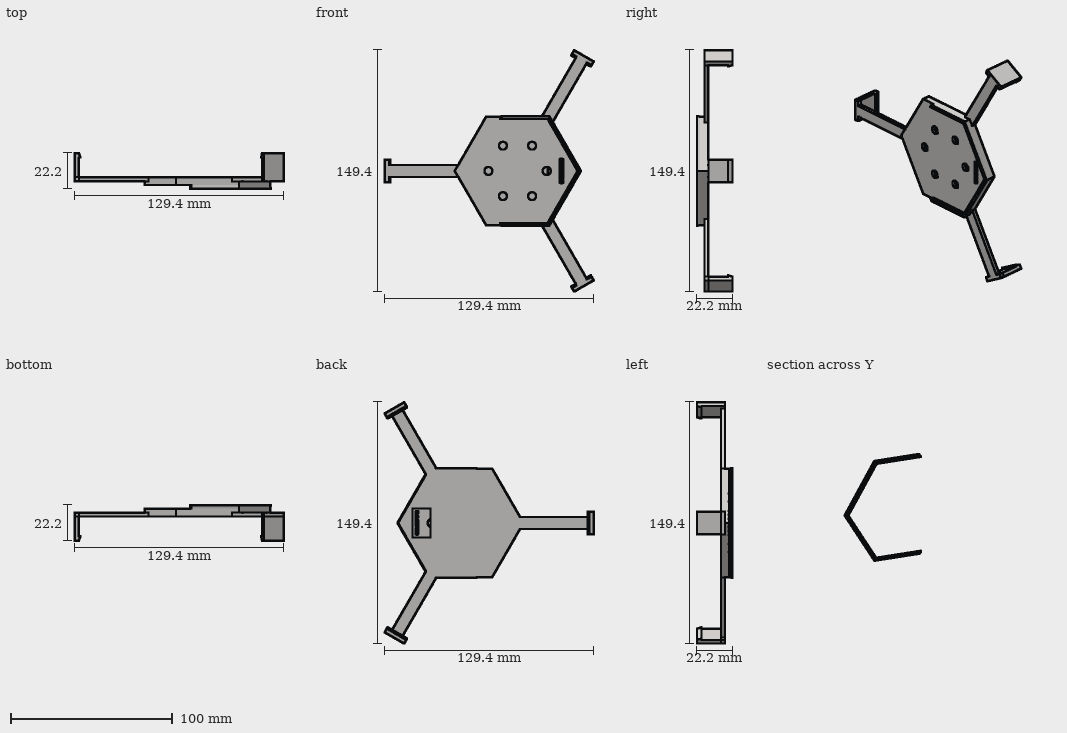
import cadquery as cq
import math

overall_height = 149.4
base_apothem = 33.6
base_thickness = 5.0
base_front = -base_thickness

arm_count = 3
arm_pitch = 360 / arm_count
arm_width = 7.6
arm_thickness = 2.5

clip_width = 14.0
clip_thickness = 2.7
clip_height = 15.0
lip_height = 2.8
lip_overhang = 1.0
arm_reach = (overall_height / 2 - clip_width / 4) / math.cos(math.radians(30))
fused_clip_index = 1

rail_height = 2.2
rail_flare = 0.37
rail_wall = 1.0
rail_lip_thickness = 1.0
rail_lip_width = 1.8
rail_end_x = -29.5
rail_front = base_front - rail_height
rail_trim_size = 59.8

mount_hole_count = 6
mount_hole_circle_radius = 18.0
mount_hole_diameter = 5.0
mount_hole_depth = 2.1

pin_hole_count = 6
pin_hole_diameter = 1.6
pin_hole_pitch = 2.5
pin_row_x = 27.2
countersink_diameter = 2.63
countersink_depth = 0.6

pocket_start_x = 18.8
pocket_end_x = 29.9
pocket_width = 18.0


def box(x_start, x_end, y_start, y_end, z_width):
    """Block between the given X and Y limits, centred on Z = 0."""
    corner = cq.Vector(x_start, y_start, -z_width / 2)
    return cq.Workplane(cq.Solid.makeBox(x_end - x_start, y_end - y_start, z_width, corner))


def hexagon(apothem, y):
    """Hexagonal wire in the plane at the given Y, with two corners on the X axis."""
    radius = apothem / math.cos(math.radians(30))
    corners = []
    for index in range(6):
        angle = math.radians(60 * index)
        corners.append(cq.Vector(radius * math.cos(angle), y, radius * math.sin(angle)))
    return cq.Wire.makePolygon(corners, close=True)


def hexagonal_prism(back_apothem, back_y, front_apothem, front_y):
    wires = [hexagon(back_apothem, back_y), hexagon(front_apothem, front_y)]
    return cq.Workplane(cq.Solid.makeLoft(wires, True))


def turned_to_arm(body, index):
    """Turn a body made for the arm along -X to the arm with the given index."""
    return body.rotate((0, 0, 0), (0, 1, 0), index * arm_pitch)


def make_rail():
    """Flared rail round the +X side, ending in cuts parallel to the far sides of the base."""
    outer = hexagonal_prism(base_apothem, base_front, base_apothem + rail_flare, rail_front)
    lip_back = rail_front + rail_lip_thickness
    channel_flare = rail_flare * (base_front - lip_back) / rail_height
    channel_apothem = base_apothem - rail_wall
    channel = hexagonal_prism(channel_apothem, base_front, channel_apothem + channel_flare, lip_back)
    mouth_apothem = base_apothem + rail_flare - rail_lip_width
    mouth = hexagonal_prism(mouth_apothem, base_front, mouth_apothem, rail_front)
    slant_x = rail_end_x + rail_trim_size * math.tan(math.radians(30))
    kept_side = (
        cq.Workplane("XZ")
        .polyline([
            (rail_end_x, 0),
            (slant_x, rail_trim_size),
            (rail_trim_size, rail_trim_size),
            (rail_trim_size, -rail_trim_size),
            (slant_x, -rail_trim_size),
        ])
        .close()
        .extrude(-rail_front)
    )
    return outer.cut(channel).cut(mouth).intersect(kept_side)


def make_arm():
    """Arm along -X with the wide foot that carries its clip."""
    beam = box(-arm_reach, -base_apothem / 2, -arm_thickness, 0, arm_width)
    foot = box(-arm_reach, -arm_reach + clip_thickness, -arm_thickness, 0, clip_width)
    return beam.union(foot)


def make_clip():
    """Upright plate on the foot of the arm along -X, with a wedge-shaped lip at its top."""
    outer_x = -arm_reach
    inner_x = outer_x + clip_thickness
    lip_base = clip_height - lip_height
    return (
        cq.Workplane("XY", origin=(0, 0, -clip_width / 2))
        .polyline([
            (outer_x, 0),
            (inner_x, 0),
            (inner_x, lip_base),
            (inner_x + lip_overhang, lip_base),
            (inner_x, clip_height),
            (outer_x, clip_height),
        ])
        .close()
        .extrude(clip_width)
    )


def make_mount_holes():
    return (
        cq.Workplane("XZ", origin=(0, base_front, 0))
        .polarArray(mount_hole_circle_radius, 0, 360, mount_hole_count)
        .circle(mount_hole_diameter / 2)
        .extrude(-mount_hole_depth)
    )


def make_pin_hole(z):
    """Through hole with a conical countersink in the front face."""
    centre = cq.Vector(pin_row_x, base_front, z)
    inward = cq.Vector(0, 1, 0)
    bore_radius = pin_hole_diameter / 2
    bore = cq.Solid.makeCylinder(bore_radius, base_thickness, centre, inward)
    sink = cq.Solid.makeCone(countersink_diameter / 2, bore_radius, countersink_depth, centre, inward)
    return cq.Workplane(bore).union(cq.Workplane(sink))


frame = hexagonal_prism(base_apothem, 0, base_apothem, base_front).union(make_rail())
for arm_index in range(arm_count):
    frame = frame.union(turned_to_arm(make_arm(), arm_index))
frame = frame.union(turned_to_arm(make_clip(), fused_clip_index))
frame = frame.cut(make_mount_holes())
for pin_index in range(pin_hole_count):
    pin_z = (pin_index - (pin_hole_count - 1) / 2) * pin_hole_pitch
    frame = frame.cut(make_pin_hole(pin_z))
frame = frame.cut(box(pocket_start_x, pocket_end_x, base_front + mount_hole_depth, 0, pocket_width))

clips = []
for arm_index in range(arm_count):
    if arm_index != fused_clip_index:
        clips.append(turned_to_arm(make_clip(), arm_index).val())

result = cq.Compound.makeCompound([frame.val(), *clips])